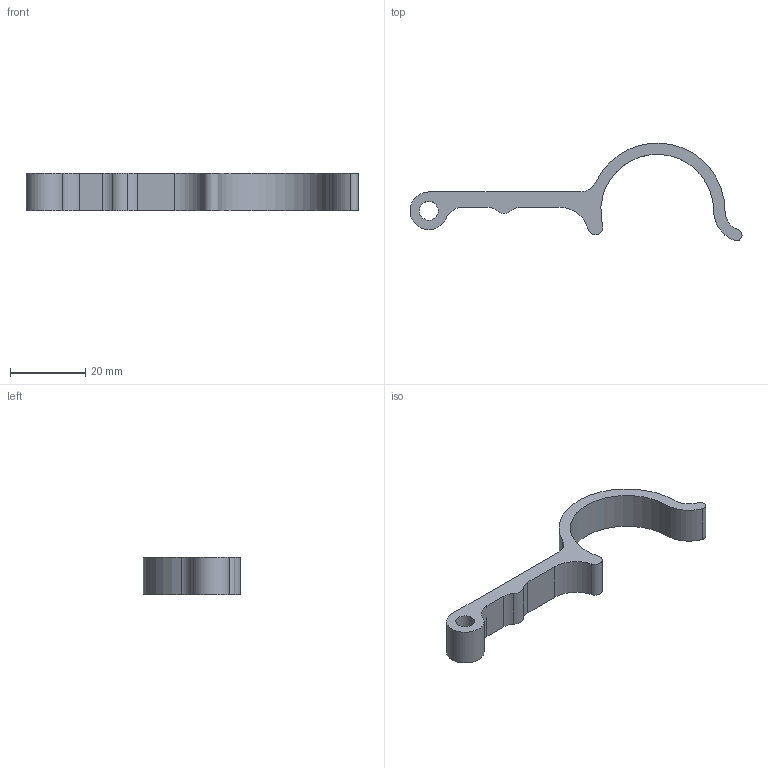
import cadquery as cq
import math

thickness = 10.0

eye_radius = 5.0
hole_radius = 2.5

arm_top = eye_radius
arm_bottom = 1.0
arm_top_end = 40.0

ring_inner_radius = 15.0
ring_wall = 3.0
ring_outer_radius = ring_inner_radius + ring_wall

eye_fillet = 5.0
ring_fillet = 5.0
prong_fillet = 8.05

bump_x = 20.0
bump_y = 2.25
bump_radius = 2.95
bump_fillet = 4.0

prong_radius = 2.0
prong_angle = 195.0

hook_inner_radius = 5.375
hook_outer_radius = hook_inner_radius + ring_wall
hook_start_angle = 0.0
hook_sweep = 70.0


def polar(center, radius, angle):
    """Point at a distance and direction (degrees) from a centre."""
    turn = math.radians(angle)
    return (center[0] + radius * math.cos(turn), center[1] + radius * math.sin(turn))


def direction(start, end):
    """Direction from one point to another, in degrees from 0 to 360."""
    return math.degrees(math.atan2(end[1] - start[1], end[0] - start[0])) % 360


def leg(hypotenuse, other_leg):
    """Remaining leg of a right triangle."""
    return math.sqrt(hypotenuse**2 - other_leg**2)


def add_arc(outline, center, radius, start_angle, end_angle):
    """Follow an arc from the current point, which lies at its start angle, to its end angle."""
    middle = polar(center, radius, (start_angle + end_angle) / 2)
    return outline.threePointArc(middle, polar(center, radius, end_angle))


eye_center = (0.0, 0.0)
ring_fillet_center = (arm_top_end, arm_top + ring_fillet)
ring_center = (arm_top_end + leg(ring_outer_radius + ring_fillet, ring_fillet_center[1]), 0.0)

hook_center = polar(ring_center, ring_outer_radius + hook_inner_radius, hook_start_angle)
hook_start = hook_start_angle + 180
hook_end = hook_start + hook_sweep
hook_tip_radius = ring_wall / 2
hook_tip_center = polar(hook_center, hook_inner_radius + hook_tip_radius, hook_end)

prong_center = polar(ring_center, ring_inner_radius + prong_radius, prong_angle)
prong_fillet_y = arm_bottom - prong_fillet
prong_fillet_run = leg(prong_fillet + prong_radius, prong_center[1] - prong_fillet_y)
prong_fillet_center = (prong_center[0] - prong_fillet_run, prong_fillet_y)

bump_center = (bump_x, bump_y)
bump_fillet_y = arm_bottom - bump_fillet
bump_fillet_run = leg(bump_radius + bump_fillet, bump_y - bump_fillet_y)
bump_right_center = (bump_x + bump_fillet_run, bump_fillet_y)
bump_left_center = (bump_x - bump_fillet_run, bump_fillet_y)

eye_fillet_y = arm_bottom - eye_fillet
eye_fillet_center = (leg(eye_radius + eye_fillet, eye_fillet_y), eye_fillet_y)


def draw_ring_and_hook(outline):
    """From the arm's upper edge over the ring, round the hook and back along the inside."""
    ring_join = direction(ring_center, ring_fillet_center)
    outline = add_arc(outline, ring_fillet_center, ring_fillet, 270, ring_join + 180)
    outline = add_arc(outline, ring_center, ring_outer_radius, ring_join, hook_start_angle)
    outline = add_arc(outline, hook_center, hook_inner_radius, hook_start, hook_end)
    outline = add_arc(outline, hook_tip_center, hook_tip_radius, hook_end - 180, hook_end - 360)
    outline = add_arc(outline, hook_center, hook_outer_radius, hook_end, hook_start)
    return add_arc(outline, ring_center, ring_inner_radius, hook_start_angle, prong_angle)


def draw_prong(outline):
    """Round the prong's end and sweep back up to the arm's underside."""
    fillet_join = direction(prong_fillet_center, prong_center)
    outline = add_arc(outline, prong_center, prong_radius, prong_angle - 180, fillet_join - 180)
    return add_arc(outline, prong_fillet_center, prong_fillet, fillet_join, 90)


def draw_bump(outline):
    """Shallow rounded bump on the arm's underside, blended at both ends."""
    right_join = direction(bump_right_center, bump_center)
    left_join = direction(bump_left_center, bump_center)
    outline = outline.lineTo(bump_right_center[0], arm_bottom)
    outline = add_arc(outline, bump_right_center, bump_fillet, 90, right_join)
    outline = add_arc(outline, bump_center, bump_radius, right_join + 180, left_join + 180)
    return add_arc(outline, bump_left_center, bump_fillet, left_join, 90)


def draw_eye(outline):
    """Blend from the arm's underside into the eye and round it to the arm's upper edge."""
    eye_join = direction(eye_center, eye_fillet_center)
    outline = outline.lineTo(eye_fillet_center[0], arm_bottom)
    outline = add_arc(outline, eye_fillet_center, eye_fillet, 90, eye_join - 180)
    return add_arc(outline, eye_center, eye_radius, eye_join, 90)


def make_clip():
    outline = cq.Workplane("XY").moveTo(0, arm_top).lineTo(arm_top_end, arm_top)
    outline = draw_ring_and_hook(outline)
    outline = draw_prong(outline)
    outline = draw_bump(outline)
    outline = draw_eye(outline)
    body = outline.close().extrude(thickness)
    hole = cq.Workplane("XY").circle(hole_radius).extrude(thickness)
    return body.cut(hole)


result = make_clip()